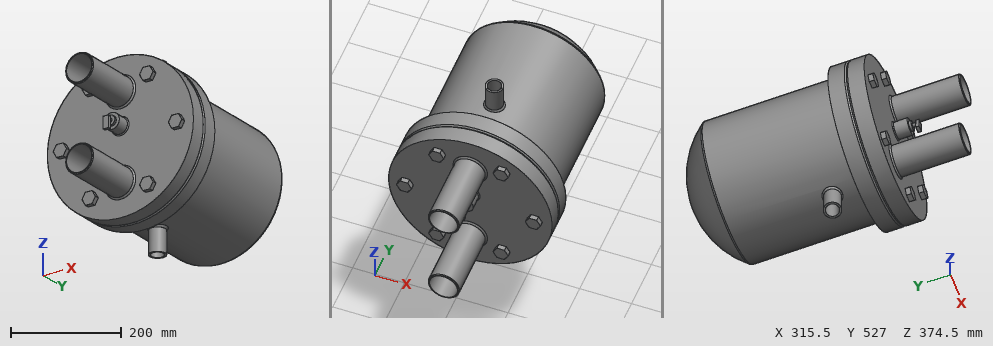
import cadquery as cq
import math


overall_length = 527.0
shell_radius = 136.5
shell_end = 324.0
rim_bevel_depth = 1.0
rim_bevel_length = 3.0

flange_diameter = 315.5
cover_thickness = 32.0
groove_width = 6.5
groove_depth = 2.0
flange_thickness = 31.5

pipe_diameter = 60.0
pipe_bore = 54.5
pipe_length = 135.0
pipe_offset = 88.5
pipe_bevel = 1.5

nozzle_diameter = 33.0
nozzle_bore = 26.0
nozzle_span = 374.5
nozzle_position = 122.0

weld_leg = 3.0

bolt_count = 6
bolt_sides = 6
bolt_circle_radius = 124.5
bolt_across_flats = 25.5
bolt_head_height = 9.5

valve_height = 21.5
valve_diameter = 33.0
valve_length = 28.5
valve_weld_leg = 2.0
collar_diameter = 20.0
collar_length = 5.0
stem_diameter = 7.5
stem_length = 8.0
handle_width = 12.0
handle_thickness = 6.5
handle_length = 25.0
handle_rise = 4.0

FORWARD = cq.Vector(0, -1, 0)


def rod(base, direction, diameter, length):
    """Solid cylinder that starts at base and runs along direction."""
    return cq.Workplane(cq.Solid.makeCylinder(diameter / 2, length, base, direction))


def weld_bead(base, direction, diameter, leg, height):
    """Conical fillet weld around a round root, narrowing over height to the root diameter."""
    root_radius = diameter / 2
    return cq.Workplane(cq.Solid.makeCone(root_radius + leg, root_radius, height, base, direction))


def make_vessel():
    """Cover, flange, shell and spherical dome, revolved about the Y axis."""
    flange_radius = flange_diameter / 2
    groove_end = cover_thickness + groove_width
    groove_middle = cover_thickness + groove_width / 2
    flange_end = groove_end + flange_thickness
    dome_end = overall_length - pipe_length
    rim_radius = shell_radius - rim_bevel_depth

    dome_height = dome_end - shell_end
    sphere_radius = (rim_radius**2 + dome_height**2) / (2 * dome_height)
    sphere_center = dome_end - sphere_radius
    half_angle = math.asin(rim_radius / sphere_radius) / 2
    dome_middle = (
        sphere_radius * math.sin(half_angle),
        sphere_center + sphere_radius * math.cos(half_angle),
    )

    profile = (
        cq.Workplane("XY")
        .lineTo(flange_radius, 0)
        .lineTo(flange_radius, cover_thickness)
        .lineTo(flange_radius - groove_depth, groove_middle)
        .lineTo(flange_radius, groove_end)
        .lineTo(flange_radius, flange_end)
        .lineTo(shell_radius, flange_end)
        .lineTo(shell_radius, shell_end - rim_bevel_length)
        .lineTo(rim_radius, shell_end)
        .threePointArc(dome_middle, (0, dome_end))
        .close()
    )
    return profile.revolve(360, (0, 0, 0), (0, 1, 0))


def make_pipe(height):
    """Welded connection pipe, bored down to the cover face and bevelled at its mouth."""
    root = cq.Vector(0, 0, height)
    pipe = rod(root, FORWARD, pipe_diameter, pipe_length).faces("<Y").chamfer(pipe_bevel)
    bore = rod(root, FORWARD, pipe_bore, pipe_length)
    return pipe.union(weld_bead(root, FORWARD, pipe_diameter, weld_leg, weld_leg)).cut(bore)


def make_nozzle(side):
    """Welded nozzle on the shell; side is +1 above and -1 below. The bore has a flat floor."""
    outward = cq.Vector(0, 0, side)
    axis_point = cq.Vector(0, nozzle_position, 0)
    crest = axis_point + outward * shell_radius
    length = nozzle_span / 2

    bead_radius = nozzle_diameter / 2 + weld_leg
    bead_start = math.sqrt(shell_radius**2 - bead_radius**2)
    bead_height = shell_radius + weld_leg - bead_start
    bead = weld_bead(axis_point + outward * bead_start, outward, nozzle_diameter, weld_leg, bead_height)

    bore = rod(crest, outward, nozzle_bore, length - shell_radius)
    return rod(axis_point, outward, nozzle_diameter, length).union(bead).cut(bore)


def make_bolt_heads():
    """Ring of hexagon heads on the cover, each with two flats level."""
    across_corners = bolt_across_flats / math.cos(math.pi / 6)
    return (
        cq.Workplane("XZ")
        .polarArray(bolt_circle_radius, 0, 360, bolt_count, rotate=False)
        .polygon(bolt_sides, across_corners)
        .extrude(bolt_head_height)
    )


def make_valve():
    """Vent valve: welded body, collar, stem and a flat handle hanging down."""
    root = cq.Vector(0, 0, valve_height)
    collar_base = root + FORWARD * valve_length
    stem_base = collar_base + FORWARD * collar_length
    handle_base = stem_base + FORWARD * stem_length

    body = rod(root, FORWARD, valve_diameter, valve_length)
    bead = weld_bead(root, FORWARD, valve_diameter, valve_weld_leg, valve_weld_leg)
    collar = rod(collar_base, FORWARD, collar_diameter, collar_length)
    stem = rod(stem_base, FORWARD, stem_diameter, stem_length)
    handle_center = handle_base + cq.Vector(0, -handle_thickness / 2, handle_rise - handle_length / 2)
    handle = (
        cq.Workplane("XY")
        .box(handle_width, handle_thickness, handle_length)
        .translate(handle_center)
    )
    return body.union(bead).union(collar).union(stem).union(handle)


result = make_vessel()
for side in (1, -1):
    result = result.union(make_pipe(side * pipe_offset))
    result = result.union(make_nozzle(side))
result = result.union(make_bolt_heads()).union(make_valve())